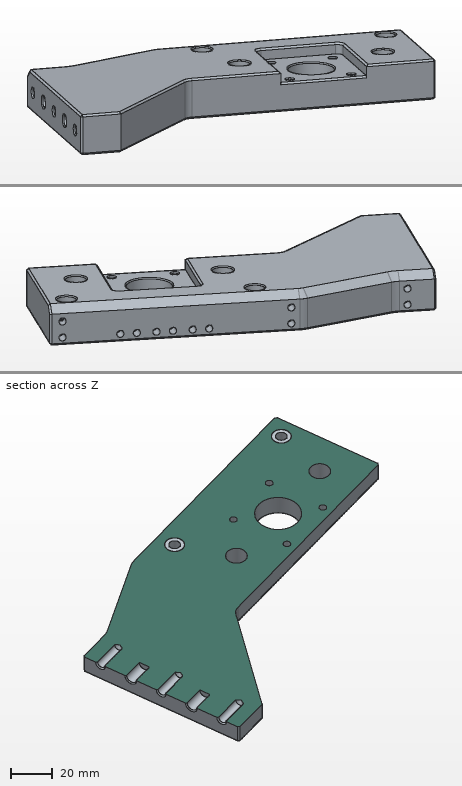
import cadquery as cq
import math

LENGTH = 192.0
WIDTH = 107.5
THICKNESS = 20.0
ARM_WIDTH = 60.0
FOOT_LEFT = 17.5
FOOT_HEIGHT = 20.0
SHOULDER_HEIGHT = 68.0
CROOK_HEIGHT = FOOT_HEIGHT + (WIDTH - ARM_WIDTH)
BEND_RADIUS = 11.5
CROOK_RADIUS = 5.8

BEVEL = 4.0
EDGE_CHAMFER = 1.0
HOLE_CHAMFER = 0.5

SEAT_X = 39.0
SEAT_Y = 136.0
SEAT_LEFT = 17.5
SEAT_HEIGHT = 43.0
SEAT_DEPTH = 5.5
SEAT_FLOOR = THICKNESS - SEAT_DEPTH
SEAT_CORNER_RADIUS = 2.9
BORE_DIAMETER = 22.3
SEAT_HOLE_PITCH = 31.0
SEAT_HOLE_DIAMETER = 3.5
SEAT_HOLE_DEPTH = 7.7

PIN_HOLE_OFFSET = 36.0
PIN_HOLE_DIAMETER = 10.2

SCREW_X = 10.0
SCREW_YS = (90.0, 182.0)
SCREW_DIAMETER = 5.5
COUNTERBORE_DIAMETER = 9.5
COUNTERBORE_DEPTH = 10.0

END_HOLE_PITCH = 17.5
END_HOLE_COUNT = 5
END_TAP_DIAMETER = 4.2
END_TAP_CHAMFER = 0.67
END_TAP_DEPTH = 15.4
DOWEL_DIAMETER = 5.5
DOWEL_DEPTH = 11.5

SIDE_HOLE_DIAMETER = 3.5
SIDE_HOLE_DEPTH = 7.7
SIDE_HOLE_SPACING = 8.0
SIDE_HOLE_LOW_Z = 3.8
SIDE_COLUMNS = ((0, 185.9), (0, 74.1), (FOOT_LEFT, 14.0))
SIDE_PAIR_PITCH = 17.7

DRILL_TIP_ANGLE = 118.0

DOWN = (0, 0, -1)
INWARD_X = (1, 0, 0)
INWARD_Y = (0, 1, 0)


def is_flank_edge(edge):
    """True for edges to break along the flanks: all but the ends and the already bevelled top left."""
    centre = edge.Center()
    on_end = min(centre.y, LENGTH - centre.y) < EDGE_CHAMFER
    on_right = centre.x > ARM_WIDTH - EDGE_CHAMFER
    on_bottom = centre.z < EDGE_CHAMFER
    return not on_end and (on_right or on_bottom)


def make_plate():
    """Plate with rounded bends, a large bevel on the top left and small edge breaks elsewhere."""
    foot_bend = (FOOT_LEFT, FOOT_HEIGHT)
    shoulder_bend = (0, SHOULDER_HEIGHT)
    crook = (ARM_WIDTH, CROOK_HEIGHT)
    outline = [
        (FOOT_LEFT, 0),
        (WIDTH, 0),
        (WIDTH, FOOT_HEIGHT),
        crook,
        (ARM_WIDTH, LENGTH),
        (0, LENGTH),
        shoulder_bend,
        foot_bend,
    ]
    plate = cq.Workplane("XY").polyline(outline).close().extrude(THICKNESS)

    bends = ((shoulder_bend, BEND_RADIUS), (foot_bend, BEND_RADIUS), (crook, CROOK_RADIUS))
    for corner, radius in bends:
        upright_edge = cq.selectors.NearestToPointSelector((*corner, THICKNESS / 2))
        plate = plate.edges(upright_edge).fillet(radius)

    top_edges = plate.faces(">Z").edges()
    plate = top_edges.filter(lambda edge: edge.Center().x < FOOT_LEFT + BEVEL).chamfer(BEVEL)

    flank_edges = plate.faces("|Z").edges().filter(is_flank_edge)
    return plate.faces("<Y or >Y").edges().add(flank_edges).chamfer(EDGE_CHAMFER)


def seat_outline(growth):
    """Seat outline grown by the given amount, rounded on the left and running out past the right flank."""
    left = SEAT_LEFT - growth
    height = SEAT_HEIGHT + 2 * growth
    return (
        cq.Sketch()
        .push([((left + WIDTH) / 2, SEAT_Y)])
        .rect(WIDTH - left, height)
        .reset()
        .vertices("<X")
        .fillet(SEAT_CORNER_RADIUS + growth)
    )


def cut_seat(part):
    """Cut the seat, chamfer its rim, and break the edge where its floor meets the right flank."""
    pocket = cq.Workplane("XY", origin=(0, 0, SEAT_FLOOR)).placeSketch(seat_outline(0)).extrude(SEAT_DEPTH)
    rim_top = seat_outline(EDGE_CHAMFER).moved(cq.Location((0, 0, EDGE_CHAMFER)))
    rim = (
        cq.Workplane("XY", origin=(0, 0, THICKNESS - EDGE_CHAMFER))
        .placeSketch(seat_outline(0), rim_top)
        .loft()
    )
    part = part.cut(pocket).cut(rim)
    floor_edge = cq.selectors.NearestToPointSelector((ARM_WIDTH, SEAT_Y, SEAT_FLOOR))
    return part.edges(floor_edge).chamfer(EDGE_CHAMFER)


def make_drill(start, direction, diameter, depth, chamfer=0.0, pointed=False):
    """Round cutter running from start along direction, with an optional mouth chamfer and drill tip."""
    radius = diameter / 2
    tip_length = radius / math.tan(math.radians(DRILL_TIP_ANGLE / 2)) if pointed else 0
    points = [(0, 0), (radius + chamfer, 0)]
    if chamfer:
        points.append((radius, chamfer))
    points.append((radius, depth))
    points.append((0, depth + tip_length))
    across = cq.Vector(direction[2], 0, 1 - abs(direction[2]))
    plane = cq.Plane(origin=start, xDir=across, normal=across.cross(cq.Vector(*direction)))
    return cq.Workplane(plane).polyline(points).close().revolve(360, (0, 0), (0, 1))


def seat_drills():
    """The bore and the four holes around it, all from the seat floor."""
    drills = [make_drill((SEAT_X, SEAT_Y, SEAT_FLOOR), DOWN, BORE_DIAMETER, SEAT_FLOOR, HOLE_CHAMFER)]
    for side_x in (-0.5, 0.5):
        for side_y in (-0.5, 0.5):
            start = (SEAT_X + side_x * SEAT_HOLE_PITCH, SEAT_Y + side_y * SEAT_HOLE_PITCH, SEAT_FLOOR)
            drills.append(make_drill(start, DOWN, SEAT_HOLE_DIAMETER, SEAT_HOLE_DEPTH, HOLE_CHAMFER))
    return drills


def top_drills():
    """The plain through holes and the counterbored screw holes from the top face."""
    drills = []
    for y in (SEAT_Y - PIN_HOLE_OFFSET, SEAT_Y + PIN_HOLE_OFFSET):
        start = (SEAT_X, y, THICKNESS)
        drills.append(make_drill(start, DOWN, PIN_HOLE_DIAMETER, THICKNESS, HOLE_CHAMFER))
    for y in SCREW_YS:
        start = (SCREW_X, y, THICKNESS)
        drills.append(make_drill(start, DOWN, SCREW_DIAMETER, THICKNESS))
        drills.append(make_drill(start, DOWN, COUNTERBORE_DIAMETER, COUNTERBORE_DEPTH, HOLE_CHAMFER))
    return drills


def end_drills():
    """The row of alternating tapped and dowel holes, centred on the foot's end face."""
    drills = []
    row_start = (FOOT_LEFT + WIDTH - (END_HOLE_COUNT - 1) * END_HOLE_PITCH) / 2
    for index in range(END_HOLE_COUNT):
        start = (row_start + index * END_HOLE_PITCH, 0, THICKNESS / 2)
        if index % 2 == 0:
            drill = make_drill(start, INWARD_Y, END_TAP_DIAMETER, END_TAP_DEPTH, END_TAP_CHAMFER, True)
        else:
            drill = make_drill(start, INWARD_Y, DOWEL_DIAMETER, DOWEL_DEPTH, HOLE_CHAMFER)
        drills.append(drill)
    return drills


def side_drills():
    """The small pointed holes in the left faces."""
    starts = []
    for x, y in SIDE_COLUMNS:
        for z in (SIDE_HOLE_LOW_Z, SIDE_HOLE_LOW_Z + SIDE_HOLE_SPACING):
            starts.append((x, y, z))
    for pair in (-1, 0, 1):
        for half in (-0.5, 0.5):
            y = SEAT_Y + pair * SIDE_PAIR_PITCH + half * SIDE_HOLE_SPACING
            starts.append((0, y, SIDE_HOLE_LOW_Z))
    return [
        make_drill(start, INWARD_X, SIDE_HOLE_DIAMETER, SIDE_HOLE_DEPTH, pointed=True)
        for start in starts
    ]


result = cut_seat(make_plate())
for drill_cutter in seat_drills() + top_drills() + end_drills() + side_drills():
    result = result.cut(drill_cutter)
result = result.solids()